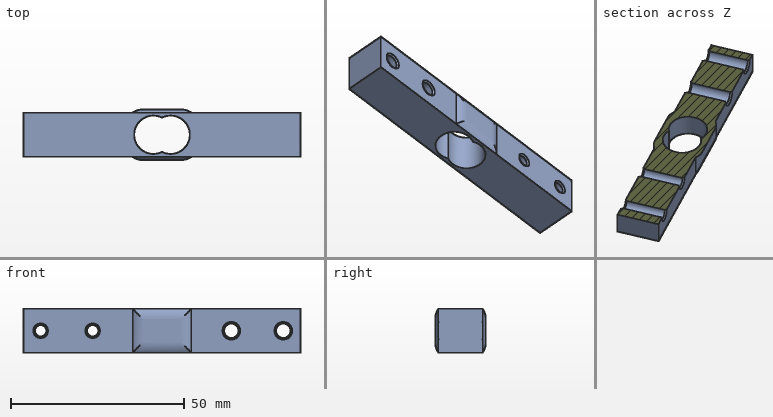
import cadquery as cq
import math

BEAM_LENGTH = 80.0
BEAM_SIDE = 12.7

PAD_LENGTH = 17.0
PAD_HEIGHT = 1.0
PAD_BORDER = 3.0
PAD_CENTRE_X = BEAM_LENGTH / 2

WINDOW_BORE_DIAMETER = 11.0
WINDOW_BORE_SPACING = 5.0

SMALL_HOLE_DIAMETER = 3.24
LARGE_HOLE_DIAMETER = 4.13
HOLE_CHAMFER = 0.5
HOLE_END_OFFSET = 5.0
HOLE_PITCH = 15.0


def make_beam():
    return cq.Workplane("XY").box(BEAM_LENGTH, BEAM_SIDE, BEAM_SIDE).translate((BEAM_LENGTH / 2, 0, 0))


def pad_profile(plane, width, depth):
    """Extrude a section with flat outer faces and arc borders tangent to them."""
    radius = (PAD_BORDER**2 + PAD_HEIGHT**2) / (2 * PAD_HEIGHT)
    half_angle = math.asin(PAD_BORDER / radius) / 2
    arc_run = PAD_BORDER - radius * math.sin(half_angle)
    arc_drop = radius * (1 - math.cos(half_angle))
    edge = width / 2
    flat = edge - PAD_BORDER
    base = BEAM_SIDE / 2
    crest = base + PAD_HEIGHT
    mid = edge - arc_run
    mid_height = crest - arc_drop
    return (
        cq.Workplane(plane)
        .moveTo(-edge, base)
        .threePointArc((-mid, mid_height), (-flat, crest))
        .lineTo(flat, crest)
        .threePointArc((mid, mid_height), (edge, base))
        .lineTo(edge, -base)
        .threePointArc((mid, -mid_height), (flat, -crest))
        .lineTo(-flat, -crest)
        .threePointArc((-mid, -mid_height), (-edge, -base))
        .close()
        .extrude(depth / 2, both=True)
    )


def make_pads():
    """Intersect the lengthwise and crosswise sections to get mitred rounded borders."""
    section_plane = cq.Plane(origin=(0, 0, 0), xDir=(0, 0, 1), normal=(1, 0, 0))
    lengthwise = pad_profile("XY", PAD_LENGTH, BEAM_SIDE)
    crosswise = pad_profile(section_plane, BEAM_SIDE, PAD_LENGTH)
    return lengthwise.intersect(crosswise).translate((PAD_CENTRE_X, 0, 0))


def make_window_bore(x):
    return cq.Workplane("XY").center(x, 0).circle(WINDOW_BORE_DIAMETER / 2).extrude(BEAM_SIDE, both=True)


def make_hole(x, diameter):
    """Revolve a through hole with 45 degree mouths about a line along Y."""
    radius = diameter / 2
    mouth_radius = radius + HOLE_CHAMFER
    face = BEAM_SIDE / 2
    chamfer_end = face - HOLE_CHAMFER
    half_section = [
        (0, -face),
        (mouth_radius, -face),
        (radius, -chamfer_end),
        (radius, chamfer_end),
        (mouth_radius, face),
        (0, face),
    ]
    cutter = cq.Workplane("XY").polyline(half_section).close().revolve(360, (0, 0, 0), (0, 1, 0))
    return cutter.translate((x, 0, 0))


result = make_beam().union(make_pads())
for side in (-1, 1):
    result = result.cut(make_window_bore(PAD_CENTRE_X + side * WINDOW_BORE_SPACING / 2))
for inset in (HOLE_END_OFFSET, HOLE_END_OFFSET + HOLE_PITCH):
    result = result.cut(make_hole(inset, SMALL_HOLE_DIAMETER))
    result = result.cut(make_hole(BEAM_LENGTH - inset, LARGE_HOLE_DIAMETER))